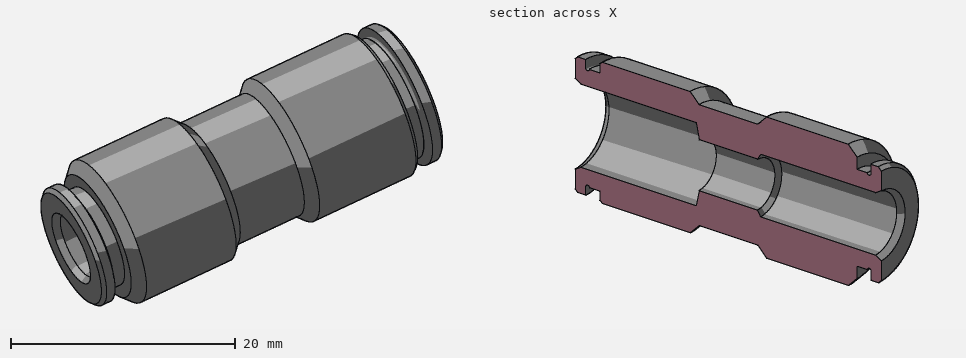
import cadquery as cq

length = 34.45
body_diameter = 14.0
waist_diameter = 12.0
through_diameter = 5.0

body_front = 2.72
body_back = 31.7
waist_front = 13.92
waist_back = 20.5
shoulder = (body_diameter - waist_diameter) / 2
back_edge_diameter = 13.5
back_edge_length = 0.3

lip_length = 1.2
groove_width = 0.38
mouth_length = 0.65
mouth_flare = 0.38
seat_length = 0.35

front_lip_diameter = 11.5
front_neck_diameter = 9.6
front_bore_diameter = 6.15
front_lip_chamfer = 0.35

back_lip_diameter = 13.45
back_neck_diameter = 11.7
back_bore_diameter = 8.15
back_lip_chamfer = 0.28


def revolve_profile(points):
    """Revolve a closed (radius, y) outline about the Y axis."""
    return cq.Workplane("XY").polyline(points).close().revolve(360, (0, 0, 0), (0, 1, 0))


def make_body():
    body_radius = body_diameter / 2
    waist_radius = waist_diameter / 2
    return revolve_profile([
        (0, body_front),
        (waist_radius, body_front),
        (body_radius, body_front + shoulder),
        (body_radius, waist_front - shoulder),
        (waist_radius, waist_front),
        (waist_radius, waist_back),
        (body_radius, waist_back + shoulder),
        (body_radius, body_back - back_edge_length),
        (back_edge_diameter / 2, body_back),
        (0, body_back),
    ])


def make_collar(lip_diameter, neck_diameter, lip_chamfer, base):
    """Collar with its outer face at Y = 0, running back to Y = base."""
    lip_radius = lip_diameter / 2
    neck_radius = neck_diameter / 2
    groove_radius = groove_width / 2
    blank = revolve_profile([
        (0, 0),
        (lip_radius - lip_chamfer, 0),
        (lip_radius, lip_chamfer),
        (lip_radius, lip_length),
        (neck_radius, lip_length),
        (neck_radius, base),
        (0, base),
    ])
    groove_end = lip_length + groove_width
    groove = (
        cq.Workplane("XY")
        .moveTo(neck_radius, lip_length)
        .threePointArc((neck_radius - groove_radius, lip_length + groove_radius), (neck_radius, groove_end))
        .lineTo(lip_radius, groove_end)
        .lineTo(lip_radius, lip_length)
        .close()
        .revolve(360, (0, 0, 0), (0, 1, 0))
    )
    return blank.cut(groove)


def make_socket(bore_diameter, depth):
    """Tube socket cutter with a flared mouth and a conical seat, entering at Y = 0."""
    bore_radius = bore_diameter / 2
    return revolve_profile([
        (0, 0),
        (bore_radius + mouth_flare, 0),
        (bore_radius, mouth_length),
        (bore_radius, depth - seat_length),
        (through_diameter / 2, depth),
        (0, depth),
    ])


def to_back_end(shape):
    """Turn a front-end shape round so that it enters from the back end."""
    return shape.mirror("XZ").translate((0, length, 0))


front_collar = make_collar(front_lip_diameter, front_neck_diameter, front_lip_chamfer, body_front)
back_collar = to_back_end(
    make_collar(back_lip_diameter, back_neck_diameter, back_lip_chamfer, length - body_back)
)

front_socket = make_socket(front_bore_diameter, waist_front)
back_socket = to_back_end(make_socket(back_bore_diameter, length - waist_back))
through_bore = revolve_profile([
    (0, 0),
    (through_diameter / 2, 0),
    (through_diameter / 2, length),
    (0, length),
])

connector = make_body().union(front_collar).union(back_collar)
connector = connector.cut(front_socket).cut(back_socket).cut(through_bore)
result = connector.translate((0, -length / 2, 0))